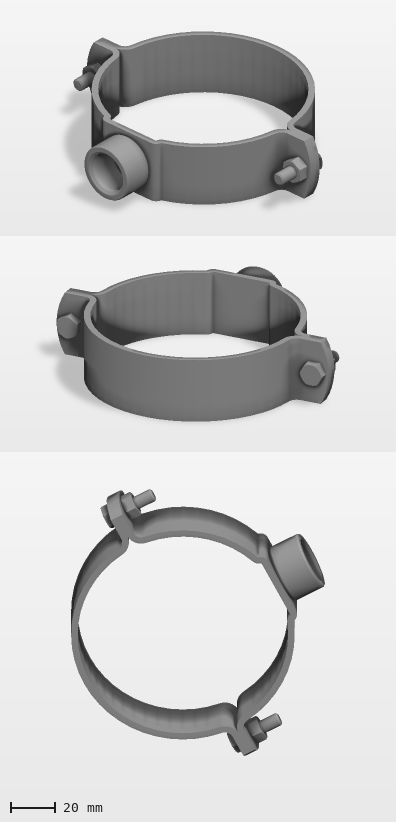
import cadquery as cq
import math

ring_outer_radius = 50.0
strap_thickness = 3.0
strap_height = 30.0
ring_inner_radius = ring_outer_radius - strap_thickness
half_length = 67.5
ear_bend_radius = 4.0
ear_tip_radius = strap_height
pad_half_width = 13.6
pad_bend_radius = 0.5

socket_radius = 13.2
socket_length = 15.0
socket_bore_radius = 9.3
socket_bore_chamfer = 1.2
socket_root_chamfer_length = 1.2
socket_root_chamfer_depth = 0.8
socket_mouth_chamfer_length = 0.8
socket_mouth_chamfer_depth = 0.4

bolt_x = 60.5
bolt_diameter = 6.0
bolt_length = 20.0
bolt_tip_chamfer = 0.7
left_head_angle = 0
right_head_angle = 33
head_height = 4.0
head_across_flats = 9.9
head_chamfer_depth = 0.7
nut_height = 5.1
nut_across_flats = 10.1
nut_chamfer_depth = 0.7
hex_half_sector = math.pi / 6
hex_chamfer_angle = math.pi / 6

ear_bend_y = strap_thickness + ear_bend_radius
ear_bend_x = math.sqrt((ring_outer_radius + ear_bend_radius) ** 2 - ear_bend_y**2)
ear_bend_angle = math.atan2(ear_bend_y, ear_bend_x)


def polar(radius, angle, center=(0, 0)):
    return (center[0] + radius * math.cos(angle), center[1] + radius * math.sin(angle))


def extrude_strap(sketch):
    """Extrude an XY outline symmetrically about Z = 0."""
    return sketch.extrude(strap_height / 2, both=True)


def bent_bar(center, inner_radius, outer_radius, start_angle, end_angle):
    """Stretch of strap bent about a center, between two angles in radians."""
    middle = (start_angle + end_angle) / 2
    return extrude_strap(
        cq.Workplane("XY")
        .moveTo(*polar(outer_radius, start_angle, center))
        .threePointArc(
            polar(outer_radius, middle, center), polar(outer_radius, end_angle, center)
        )
        .lineTo(*polar(inner_radius, end_angle, center))
        .threePointArc(
            polar(inner_radius, middle, center), polar(inner_radius, start_angle, center)
        )
        .close()
    )


def ring_arc(start_angle, end_angle):
    """Part of the ring between two angles about the Z axis."""
    return bent_bar((0, 0), ring_inner_radius, ring_outer_radius, start_angle, end_angle)


def make_ear():
    """Bend and flat ear at the +X end of the rear (+Y) strap, with its bolt hole."""
    bend = bent_bar(
        (ear_bend_x, ear_bend_y),
        ear_bend_radius,
        ear_bend_radius + strap_thickness,
        math.pi + ear_bend_angle,
        1.5 * math.pi,
    )
    tip_center_x = half_length - ear_tip_radius
    corner_x = tip_center_x + math.sqrt(ear_tip_radius**2 - (strap_height / 2) ** 2)
    plate = (
        cq.Workplane("XZ")
        .moveTo(ear_bend_x, -strap_height / 2)
        .lineTo(corner_x, -strap_height / 2)
        .threePointArc((half_length, 0), (corner_x, strap_height / 2))
        .lineTo(ear_bend_x, strap_height / 2)
        .close()
        .extrude(-strap_thickness)
    )
    hole = (
        cq.Workplane("XZ")
        .center(bolt_x, 0)
        .circle(bolt_diameter / 2)
        .extrude(-strap_thickness)
    )
    return bend.union(plate).cut(hole)


def make_rear_strap():
    right_ear = make_ear()
    ring = ring_arc(ear_bend_angle, math.pi - ear_bend_angle)
    return ring.union(right_ear).union(right_ear.mirror("YZ"))


def make_front_strap():
    bend_outer_radius = pad_bend_radius + strap_thickness
    pad_bend_center = (pad_half_width, pad_bend_radius - ring_inner_radius)
    pad_bend_distance = math.hypot(*pad_bend_center)
    ring_bend_distance = ring_outer_radius + pad_bend_radius
    center_spacing = pad_bend_radius + bend_outer_radius
    angle_between_centers = math.acos(
        (pad_bend_distance**2 + ring_bend_distance**2 - center_spacing**2)
        / (2 * pad_bend_distance * ring_bend_distance)
    )
    pad_bend_angle = math.atan2(pad_bend_center[1], pad_bend_center[0])
    ring_end_angle = pad_bend_angle + angle_between_centers
    ring_bend_center = polar(ring_bend_distance, ring_end_angle)
    joint_angle = math.atan2(
        ring_bend_center[1] - pad_bend_center[1], ring_bend_center[0] - pad_bend_center[0]
    )
    pad_bend = bent_bar(
        pad_bend_center, pad_bend_radius, bend_outer_radius, -math.pi / 2, joint_angle
    )
    ring_bend = bent_bar(
        ring_bend_center,
        pad_bend_radius,
        bend_outer_radius,
        ring_end_angle + math.pi,
        joint_angle + math.pi,
    )

    pad = cq.Workplane("XY").box(2 * pad_half_width, strap_thickness, strap_height)
    pad = pad.translate((0, -ring_outer_radius + strap_thickness / 2, 0))
    right_half = (
        ring_arc(ring_end_angle, -ear_bend_angle)
        .union(make_ear().mirror("XZ"))
        .union(ring_bend)
        .union(pad_bend)
    )
    return pad.union(right_half).union(right_half.mirror("YZ"))


def make_socket():
    """Round socket with a chamfered bore, standing on the pad and pointing to -Y."""
    root_y = -ring_outer_radius
    mouth_y = root_y - socket_length
    return (
        cq.Workplane("XY")
        .moveTo(socket_bore_radius, root_y)
        .lineTo(socket_radius - socket_root_chamfer_depth, root_y)
        .lineTo(socket_radius, root_y - socket_root_chamfer_length)
        .lineTo(socket_radius, mouth_y + socket_mouth_chamfer_length)
        .lineTo(socket_radius - socket_mouth_chamfer_depth, mouth_y)
        .lineTo(socket_bore_radius + socket_bore_chamfer, mouth_y)
        .lineTo(socket_bore_radius, mouth_y + socket_bore_chamfer)
        .close()
        .revolve(360, (0, 0, 0), (0, 1, 0))
    )


def chamfered_hexagon(height, across_flats, chamfer_depth, chamfer_both_ends):
    """Hexagon from Y = 0 to Y = height, corners along X, cut by cones at its ends."""
    corner_radius = across_flats / 2 / math.cos(hex_half_sector)
    end_radius = corner_radius - chamfer_depth
    chamfer_height = chamfer_depth * math.tan(hex_chamfer_angle)
    prism = cq.Workplane("XZ").polygon(6, 2 * corner_radius).extrude(-height)
    outline = cq.Workplane("XY").moveTo(0, 0)
    if chamfer_both_ends:
        outline = outline.lineTo(end_radius, 0).lineTo(corner_radius, chamfer_height)
    else:
        outline = outline.lineTo(corner_radius, 0)
    envelope = (
        outline.lineTo(corner_radius, height - chamfer_height)
        .lineTo(end_radius, height)
        .lineTo(0, height)
        .close()
        .revolve(360, (0, 0, 0), (0, 1, 0))
    )
    return prism.intersect(envelope)


def make_bolt(x, head_angle):
    shank = cq.Workplane("XZ").circle(bolt_diameter / 2).extrude(bolt_length)
    shank = shank.faces("<Y").chamfer(bolt_tip_chamfer)
    head = chamfered_hexagon(
        head_height, head_across_flats, head_chamfer_depth, chamfer_both_ends=False
    )
    bolt = head.union(shank).rotate((0, 0, 0), (0, 1, 0), -head_angle)
    return bolt.translate((x, strap_thickness, 0))


def make_nut(x):
    hexagon = chamfered_hexagon(
        nut_height, nut_across_flats, nut_chamfer_depth, chamfer_both_ends=True
    )
    hole = cq.Workplane("XZ").circle(bolt_diameter / 2).extrude(-nut_height)
    corners_along_z = hexagon.rotate((0, 0, 0), (0, 1, 0), 90)
    return corners_along_z.cut(hole).translate((x, -strap_thickness - nut_height, 0))


rear_strap = make_rear_strap()
front_strap = make_front_strap()
socket = make_socket()
bolts = []
nuts = []
for fastener_x, head_angle in ((-bolt_x, left_head_angle), (bolt_x, right_head_angle)):
    bolts.append(make_bolt(fastener_x, head_angle).val())
    nuts.append(make_nut(fastener_x).val())

result = cq.Compound.makeCompound(
    [rear_strap.val(), front_strap.val(), socket.val(), *bolts, *nuts]
)